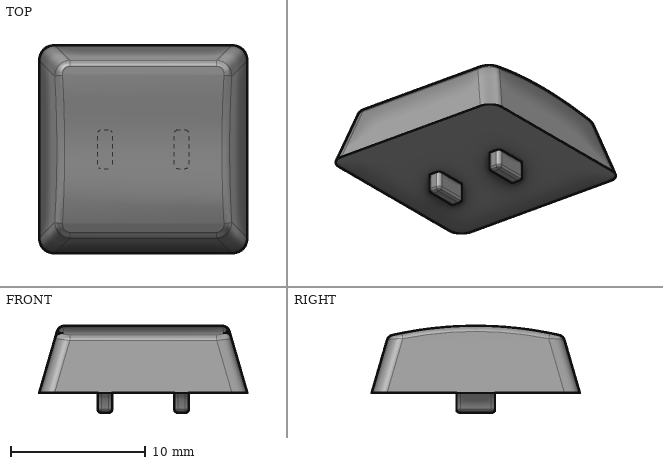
import cadquery as cq
import math

base_side = 15.5
cap_height = 5.0
top_side = 12.6
corner_radius = 1.2
dome_radius = 28.0
rim_radius = 0.6

leg_spacing = 5.7
leg_width = 1.1
leg_depth = 2.9
leg_length = 1.5
leg_round = 0.3

wall_angle = math.degrees(math.atan2((base_side - top_side) / 2, cap_height))


def tapered_block():
    """Square block with sloping walls and rounded corners."""
    block = cq.Workplane("XY").rect(base_side, base_side).extrude(cap_height, taper=wall_angle)
    corner_edges = block.edges("not(#Z)")
    return corner_edges.fillet(corner_radius)


def dome_cylinder():
    """Cylinder along X whose crest touches the top of the cap."""
    return (
        cq.Workplane("YZ")
        .center(0, cap_height - dome_radius)
        .circle(dome_radius)
        .extrude(base_side / 2, both=True)
    )


def cap_body():
    """Block trimmed to the dome, with a rounded rim around the top."""
    domed = tapered_block().intersect(dome_cylinder())
    return domed.faces(">Z").edges().fillet(rim_radius)


def leg(x_center):
    """Mounting leg with rounded upright edges and a rounded lower end."""
    bar = (
        cq.Workplane("XY")
        .center(x_center, 0)
        .rect(leg_width, leg_depth)
        .extrude(-leg_length)
    )
    return bar.edges("|Z").fillet(leg_round).faces("<Z").edges().fillet(leg_round)


result = cap_body()
for side in (-1, 1):
    result = result.union(leg(side * leg_spacing / 2))